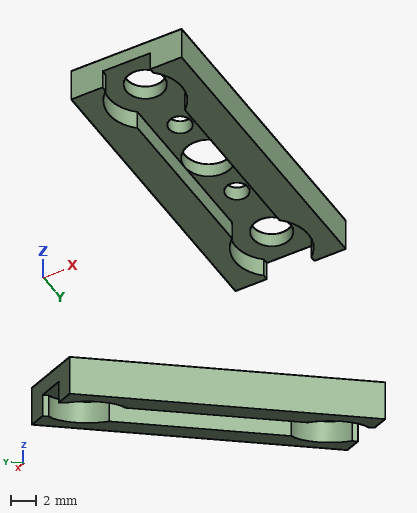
import cadquery as cq

width = 10.0
length = 26.0
thickness = 3.0

channel_width = 4.3
channel_depth = 1.7

centre_hole_diameter = channel_width
small_hole_diameter = 2.0
small_hole_offset = 4.5
end_hole_diameter = 3.4
end_hole_offset = 10.0

recess_diameter = 6.6
recess_depth = channel_depth


def plate():
    """Rectangular plate, centred in X and Y, with its underside at Z = 0."""
    return cq.Workplane("XY").box(width, length, thickness, centered=(True, True, False))


def channel():
    """Full-length rectangular channel, open at the underside and both ends."""
    return cq.Workplane("XY").box(channel_width, length, channel_depth, centered=(True, True, False))


def cylinders(diameter, height, y_positions):
    """Vertical cylinders rising from the underside on the lengthwise centre line."""
    points = [(0, y) for y in y_positions]
    return cq.Workplane("XY").pushPoints(points).circle(diameter / 2).extrude(height)


small_hole_positions = [-small_hole_offset, small_hole_offset]
end_hole_positions = [-end_hole_offset, end_hole_offset]

result = (
    plate()
    .cut(channel())
    .cut(cylinders(recess_diameter, recess_depth, end_hole_positions))
    .cut(cylinders(centre_hole_diameter, thickness, [0]))
    .cut(cylinders(small_hole_diameter, thickness, small_hole_positions))
    .cut(cylinders(end_hole_diameter, thickness, end_hole_positions))
)